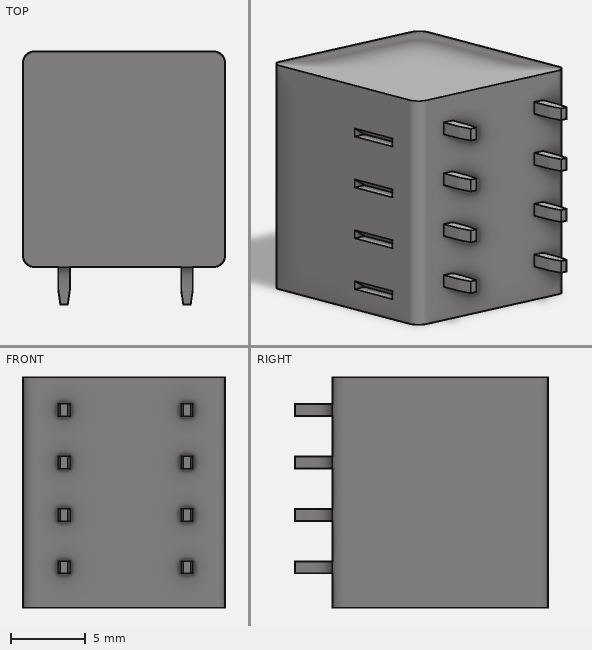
import cadquery as cq

OVERALL_DEPTH = 16.9

HOUSING_WIDTH = 13.5
HOUSING_DEPTH = 14.4
HOUSING_HEIGHT = 15.4
CORNER_RADIUS = 0.8

ROW_COUNT = 4
ROW_PITCH = 3.5

PIN_LENGTH = OVERALL_DEPTH - HOUSING_DEPTH
PIN_WIDTH = 0.8
PIN_HEIGHT = 0.81
PIN_TIP_WIDTH = 0.5
PIN_TAPER_LENGTH = 1.0
PIN_COLUMN_SPACING = 8.2
PIN_COLUMNS_CENTER_X = 0.1
PIN_ROWS_CENTER_Z = 0.25

SLOT_LENGTH = 3.7
SLOT_OPENING = 0.55
SLOT_DEPTH = 0.9
SLOT_FRONT_SETBACK = 2.5
SLOT_ROWS_CENTER_Z = -0.78

FRONT_Y = -HOUSING_DEPTH / 2
SIDE_X = -HOUSING_WIDTH / 2


def row_heights(center_z):
    """Z of each row, evenly spaced about center_z."""
    lowest = center_z - ROW_PITCH * (ROW_COUNT - 1) / 2
    return [lowest + row * ROW_PITCH for row in range(ROW_COUNT)]


def make_housing():
    block = cq.Workplane("XY").box(HOUSING_WIDTH, HOUSING_DEPTH, HOUSING_HEIGHT)
    return block.edges("|Z").fillet(CORNER_RADIUS)


def make_pin(center_x, center_z):
    """Pin standing on the front face, with its thickness centred on center_z."""
    tip_y = FRONT_Y - PIN_LENGTH
    taper_y = tip_y + PIN_TAPER_LENGTH
    outline = [
        (center_x - PIN_WIDTH / 2, FRONT_Y),
        (center_x - PIN_WIDTH / 2, taper_y),
        (center_x - PIN_TIP_WIDTH / 2, tip_y),
        (center_x + PIN_TIP_WIDTH / 2, tip_y),
        (center_x + PIN_WIDTH / 2, taper_y),
        (center_x + PIN_WIDTH / 2, FRONT_Y),
    ]
    plate = cq.Workplane("XY").polyline(outline).close().extrude(PIN_HEIGHT)
    return plate.translate((0, 0, center_z - PIN_HEIGHT / 2))


def make_slot_cutter(center_z):
    """Triangular prism running along Y, open at the -X face."""
    floor_z = center_z - SLOT_OPENING / 2
    profile = [
        (SIDE_X, floor_z),
        (SIDE_X + SLOT_DEPTH, floor_z),
        (SIDE_X, floor_z + SLOT_OPENING),
    ]
    slot_back_y = FRONT_Y + SLOT_FRONT_SETBACK + SLOT_LENGTH
    plane = cq.Workplane("XZ", origin=(0, slot_back_y, 0))
    return plane.polyline(profile).close().extrude(SLOT_LENGTH)


result = make_housing()

for column_side in (-1, 1):
    column_x = PIN_COLUMNS_CENTER_X + column_side * PIN_COLUMN_SPACING / 2
    for row_z in row_heights(PIN_ROWS_CENTER_Z):
        result = result.union(make_pin(column_x, row_z))

for row_z in row_heights(SLOT_ROWS_CENTER_Z):
    result = result.cut(make_slot_cutter(row_z))